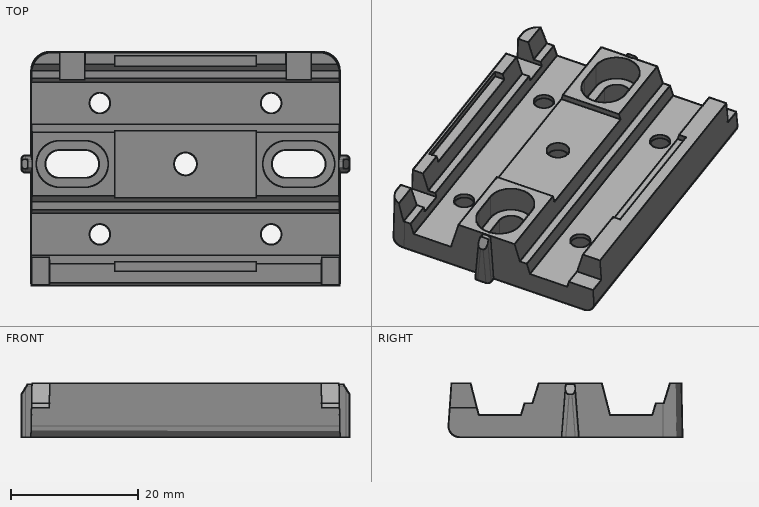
import cadquery as cq
import math

TOTAL_LENGTH = 51.5
TOTAL_WIDTH = 36.75
HEIGHT = 8.5
BODY_LENGTH = 48.5
SIDE_DRAFT = 1.2
CORNER_RADIUS = 3.1
FRONT_DRAFT = 4.0
FRONT_ROUND = 1.8
BACK_Y = TOTAL_WIDTH / 2
FRONT_Y = -TOTAL_WIDTH / 2

GROOVE_Y = 10.3
GROOVE_FLOOR_Z = 3.5
GROOVE_FLOOR_HALF = 3.3
GROOVE_FRONT_TOP = 4.6
GROOVE_BACK_TOP = 6.1
STEP_Z = 5.35
STEP_INNER = 3.85
STEP_OUTER = 5.1

RIDGE_Y = (GROOVE_BACK_TOP - GROOVE_FRONT_TOP) / 2

NOTCH_FLOOR_Z = 4.65
NOTCH_DRAFT = 1.0
BACK_NOTCH_X = 17.75
BACK_NOTCH_LENGTH = 3.85
FRONT_WALL_LENGTH = 42.75

RECESS_LENGTH = 22.25
RECESS_DEPTH = 1.0
RECESS_BACK_Y = 17.7
RECESS_FRONT_Y = -16.1

SLOT_X = 17.75
SLOT_LENGTH = 8.4
SLOT_WIDTH = 4.35
SLOT_BORE_LENGTH = 11.3
SLOT_BORE_WIDTH = 7.3
SLOT_BORE_FLOOR_Z = 4.1
CENTRE_HOLE_DIAMETER = 3.55
GROOVE_HOLE_DIAMETER = 3.2
GROOVE_HOLE_X = 13.45
CENTRE_BORE_DIAMETER = 4.75
CENTRE_BORE_DEPTH = 6.0
GROOVE_BORE_DIAMETER = 4.4
GROOVE_BORE_DEPTH = 2.8

RIB_BASE_WIDTH = 2.75
RIB_HEIGHT = 8.35
RIB_TOP_WIDTH = 1.45
RIB_ROUND = 0.6
RIB_TOP_ROUND = 0.25
RIB_SLOPE_Z = 6.75
RIB_SLOPE_INSET = 1.0
RIB_INNER_X = 23.8


def box(x_min, x_max, y_min, y_max, z_min, z_max):
    size = (x_max - x_min, y_max - y_min, z_max - z_min)
    return cq.Workplane("XY").box(*size, centered=False).translate((x_min, y_min, z_min))


def make_body():
    """Grooved cross-section along X, trimmed by the drafted plan outline."""
    front_top_y = FRONT_Y + (HEIGHT - FRONT_ROUND) * math.tan(math.radians(FRONT_DRAFT))
    arc_offset = FRONT_ROUND * (1 - math.cos(math.radians(45)))
    section = (
        cq.Workplane("YZ")
        .moveTo(BACK_Y, 0)
        .lineTo(BACK_Y, HEIGHT)
    )
    for centre in (GROOVE_Y, -GROOVE_Y):
        section = (
            section.lineTo(centre + GROOVE_BACK_TOP, HEIGHT)
            .lineTo(centre + STEP_OUTER, STEP_Z)
            .lineTo(centre + STEP_INNER, STEP_Z)
            .lineTo(centre + GROOVE_FLOOR_HALF, GROOVE_FLOOR_Z)
            .lineTo(centre - GROOVE_FLOOR_HALF, GROOVE_FLOOR_Z)
            .lineTo(centre - GROOVE_FRONT_TOP, HEIGHT)
        )
    profile = (
        section.lineTo(front_top_y, HEIGHT)
        .lineTo(FRONT_Y, FRONT_ROUND)
        .threePointArc((FRONT_Y + arc_offset, arc_offset), (FRONT_Y + FRONT_ROUND, 0))
        .close()
        .extrude(BODY_LENGTH / 2, both=True)
    )
    plan_width = TOTAL_WIDTH + CORNER_RADIUS * 2
    plan = (
        cq.Sketch()
        .rect(BODY_LENGTH, plan_width)
        .vertices(">Y")
        .fillet(CORNER_RADIUS)
    )
    outline = (
        cq.Workplane("XY", origin=(0, BACK_Y - plan_width / 2, 0))
        .placeSketch(plan)
        .extrude(HEIGHT, taper=SIDE_DRAFT)
    )
    return profile.intersect(outline)


def make_notches():
    """Drafted notches: two through the back wall, one at each front corner."""
    spread = (HEIGHT - NOTCH_FLOOR_Z) * math.tan(math.radians(NOTCH_DRAFT))

    def notch(x_inner, x_outer, y_min, y_max):
        return (
            cq.Workplane("XZ", origin=(0, y_max, 0))
            .polyline([
                (x_inner, NOTCH_FLOOR_Z),
                (x_outer, NOTCH_FLOOR_Z),
                (x_outer + spread, HEIGHT),
                (x_inner - spread, HEIGHT),
            ])
            .close()
            .extrude(y_max - y_min)
        )

    back_inner_x = BACK_NOTCH_X - BACK_NOTCH_LENGTH / 2
    back_outer_x = BACK_NOTCH_X + BACK_NOTCH_LENGTH / 2
    back = notch(back_inner_x, back_outer_x, GROOVE_Y, BACK_Y)
    front = notch(FRONT_WALL_LENGTH / 2, TOTAL_LENGTH / 2, FRONT_Y, -GROOVE_Y)
    one_end = back.union(front)
    return one_end.union(one_end.mirror("YZ"))


def make_recess():
    return box(
        -RECESS_LENGTH / 2, RECESS_LENGTH / 2,
        RECESS_FRONT_Y, RECESS_BACK_Y,
        HEIGHT - RECESS_DEPTH, HEIGHT,
    )


def make_holes():
    """Counterbored slots and the centre hole in the ridge, round holes in the grooves."""
    slot_points = [(-SLOT_X, RIDGE_Y), (SLOT_X, RIDGE_Y)]
    groove_points = [(x, y) for x in (-GROOVE_HOLE_X, GROOVE_HOLE_X) for y in (-GROOVE_Y, GROOVE_Y)]
    base = cq.Workplane("XY")
    slots = base.pushPoints(slot_points).slot2D(SLOT_LENGTH, SLOT_WIDTH).extrude(HEIGHT)
    bores = (
        base.workplane(offset=SLOT_BORE_FLOOR_Z)
        .pushPoints(slot_points)
        .slot2D(SLOT_BORE_LENGTH, SLOT_BORE_WIDTH)
        .extrude(HEIGHT - SLOT_BORE_FLOOR_Z)
    )
    round_holes = [
        ([(0, RIDGE_Y)], CENTRE_HOLE_DIAMETER, CENTRE_BORE_DIAMETER, CENTRE_BORE_DEPTH),
        (groove_points, GROOVE_HOLE_DIAMETER, GROOVE_BORE_DIAMETER, GROOVE_BORE_DEPTH),
    ]
    holes = slots.union(bores)
    for points, hole_diameter, bore_diameter, bore_depth in round_holes:
        holes = holes.union(base.pushPoints(points).circle(hole_diameter / 2).extrude(HEIGHT))
        holes = holes.union(base.pushPoints(points).circle(bore_diameter / 2).extrude(bore_depth))
    return holes


def make_rib():
    """Rib on the +X end: narrows upwards, outer edges rounded, top sloped inwards."""
    outer_x = TOTAL_LENGTH / 2
    rib = (
        cq.Workplane("YZ", origin=(RIB_INNER_X, RIDGE_Y, 0))
        .polyline([
            (-RIB_BASE_WIDTH / 2, 0),
            (RIB_BASE_WIDTH / 2, 0),
            (RIB_TOP_WIDTH / 2, RIB_HEIGHT),
            (-RIB_TOP_WIDTH / 2, RIB_HEIGHT),
        ])
        .close()
        .extrude(outer_x - RIB_INNER_X)
        .faces(">X")
        .edges("not #Z")
        .fillet(RIB_ROUND)
        .faces(">Z")
        .edges("|X")
        .fillet(RIB_TOP_ROUND)
    )
    slope_cutter = (
        cq.Workplane("XZ", origin=(0, RIDGE_Y, 0))
        .polyline([
            (outer_x, RIB_SLOPE_Z),
            (outer_x, RIB_HEIGHT),
            (outer_x - RIB_SLOPE_INSET, RIB_HEIGHT),
        ])
        .close()
        .extrude(RIB_BASE_WIDTH, both=True)
    )
    return rib.cut(slope_cutter)


body = make_body().cut(make_notches()).cut(make_recess()).cut(make_holes())
rib = make_rib()
result = body.union(rib).union(rib.mirror("YZ"))